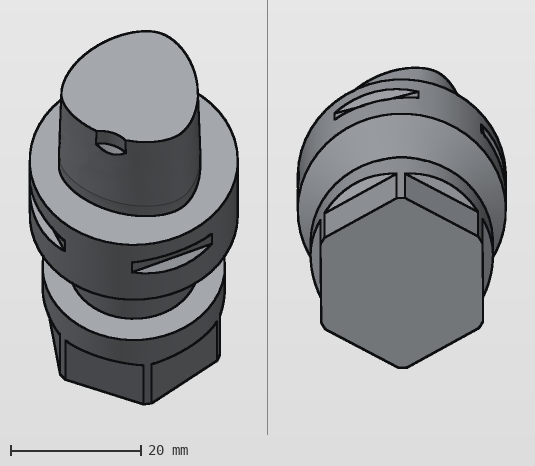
import cadquery as cq
import math

TOTAL_HEIGHT = 64.0
NUT_TOP = 17.1
CONE_BOTTOM = 27.6
FLANGE_BOTTOM = 30.5
FLANGE_TOP = 45.0
TAPER_START = 47.6

NUT_DIAMETER = 28.0
NECK_DIAMETER = 20.0
FLANGE_DIAMETER = 32.0

HEX_SIDES = 6
HEX_ACROSS_FLATS = 24.9
HEX_FLAT_TOP = 10.3

GROOVE_COUNT = 4
GROOVE_FLOOR_DISTANCE = 14.5
GROOVE_FLOOR_HEIGHT = 2.55
GROOVE_CENTRE_HEIGHT = 39.05

WALL_SLOPE = math.tan(math.radians(30))
OUTWARD_REACH = 6.4

SHANK_BASE_RADIUS = 10.9
SHANK_TOP_RADIUS = 10.5
LOBE_HEIGHT = 0.7
OUTLINE_POINTS = 48

NOTCH_RADIUS = 5.0
NOTCH_BACK = 9.0
NOTCH_FLOOR = 60.75
NOTCH_CONE_HEIGHT = 6.4


def make_body():
    """Nut, neck, cone and flange as one revolved profile."""
    return (
        cq.Workplane("XZ")
        .moveTo(0, 0)
        .lineTo(NUT_DIAMETER / 2, 0)
        .lineTo(NUT_DIAMETER / 2, NUT_TOP)
        .lineTo(NECK_DIAMETER / 2, NUT_TOP)
        .lineTo(NECK_DIAMETER / 2, CONE_BOTTOM)
        .lineTo(FLANGE_DIAMETER / 2, FLANGE_BOTTOM)
        .lineTo(FLANGE_DIAMETER / 2, FLANGE_TOP)
        .lineTo(0, FLANGE_TOP)
        .close()
        .revolve(360, (0, 0, 0), (0, 1, 0))
    )


def side_cutter(floor_distance, bottom, top, slope_bottom, angle):
    """Straight cutter with a flat floor parallel to the axis; at angle 0 it faces +X."""
    outer = floor_distance + OUTWARD_REACH
    rise = OUTWARD_REACH * WALL_SLOPE
    outer_bottom = bottom - rise if slope_bottom else bottom
    profile = [
        (floor_distance, bottom),
        (outer, outer_bottom),
        (outer, top + rise),
        (floor_distance, top),
    ]
    cutter = cq.Workplane("XZ").polyline(profile).close().extrude(FLANGE_DIAMETER / 2, both=True)
    return cutter.rotate((0, 0, 0), (0, 0, 1), angle)


def shank_wire(workplane, mean_radius):
    """Constant-width outline whose support distance is mean_radius + LOBE_HEIGHT * cos(3a)."""
    points = []
    for i in range(OUTLINE_POINTS):
        angle = 2 * math.pi * i / OUTLINE_POINTS
        support = mean_radius + LOBE_HEIGHT * math.cos(3 * angle)
        slide = -3 * LOBE_HEIGHT * math.sin(3 * angle)
        x = -support * math.sin(angle) - slide * math.cos(angle)
        y = support * math.cos(angle) - slide * math.sin(angle)
        points.append((x, y))
    return workplane.spline(points, periodic=True).close()


def make_shank():
    """Straight polygon collar with a slightly tapered polygon above it."""
    collar_base = cq.Workplane("XY").workplane(offset=FLANGE_TOP)
    collar = shank_wire(collar_base, SHANK_BASE_RADIUS).extrude(TAPER_START - FLANGE_TOP)
    taper_base = cq.Workplane("XY").workplane(offset=TAPER_START)
    taper_top = shank_wire(taper_base, SHANK_BASE_RADIUS).workplane(offset=TOTAL_HEIGHT - TAPER_START)
    taper = shank_wire(taper_top, SHANK_TOP_RADIUS).loft(ruled=True)
    return collar.union(taper)


def make_notch():
    """Vertical round cutter with a conical tip, biting into the front of the shank."""
    return (
        cq.Workplane("XZ")
        .moveTo(0, NOTCH_FLOOR - NOTCH_CONE_HEIGHT)
        .lineTo(NOTCH_RADIUS, NOTCH_FLOOR)
        .lineTo(NOTCH_RADIUS, TOTAL_HEIGHT)
        .lineTo(0, TOTAL_HEIGHT)
        .close()
        .revolve(360, (0, 0, 0), (0, 1, 0))
        .translate((0, -NOTCH_BACK - NOTCH_RADIUS, 0))
    )


def cut_hexagon(body):
    """Flats on the lower part of the nut, with two of them square to Y."""
    for i in range(HEX_SIDES):
        angle = (i + 0.5) * 360 / HEX_SIDES
        body = body.cut(side_cutter(HEX_ACROSS_FLATS / 2, 0, HEX_FLAT_TOP, False, angle))
    return body


def cut_grooves(body):
    """Straight grooves on the diagonals of the flange, with both walls sloped."""
    bottom = GROOVE_CENTRE_HEIGHT - GROOVE_FLOOR_HEIGHT / 2
    top = GROOVE_CENTRE_HEIGHT + GROOVE_FLOOR_HEIGHT / 2
    for i in range(GROOVE_COUNT):
        angle = (i + 0.5) * 360 / GROOVE_COUNT
        body = body.cut(side_cutter(GROOVE_FLOOR_DISTANCE, bottom, top, True, angle))
    return body


result = cut_grooves(cut_hexagon(make_body()))
result = result.union(make_shank()).cut(make_notch())